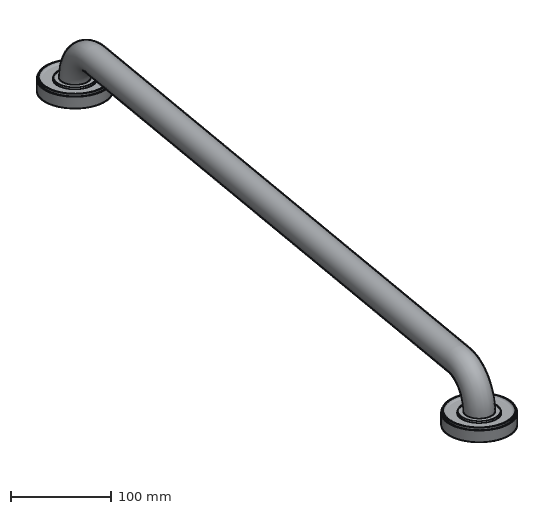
import cadquery as cq

overall_length = 889.0
overall_height = 70.0

tube_diameter = 32.0
bend_radius = 40.0

flange_diameter = 76.5
flange_height = 16.0
edge_step_width = 1.3
edge_step_height = 3.0
rim_top_width = 1.0
rim_cove_width = 4.0
rim_cove_radius = 4.0
dish_depth = 3.0
collar_diameter = 44.5
collar_slope_width = 1.0
collar_rise = 2.0

flange_radius = flange_diameter / 2
leg_x = (overall_length - flange_diameter) / 2
bend_start_x = leg_x - bend_radius
axis_z = overall_height - tube_diameter / 2
leg_top_z = axis_z - bend_radius


def make_tube():
    """Straight rail with a quarter bend turning down into a leg at each end."""
    bend_diagonal = bend_radius * 2 ** -0.5
    path = (
        cq.Workplane("XZ")
        .moveTo(-leg_x, 0)
        .lineTo(-leg_x, leg_top_z)
        .threePointArc(
            (-bend_start_x - bend_diagonal, leg_top_z + bend_diagonal),
            (-bend_start_x, axis_z),
        )
        .lineTo(bend_start_x, axis_z)
        .threePointArc(
            (bend_start_x + bend_diagonal, leg_top_z + bend_diagonal),
            (leg_x, leg_top_z),
        )
        .lineTo(leg_x, 0)
    )
    return cq.Workplane("XY").center(-leg_x, 0).circle(tube_diameter / 2).sweep(path)


def make_flange(x):
    """Round flange with a stepped edge, a raised rim, a shallow dish and a low collar."""
    rim_outer = flange_radius - edge_step_width
    rim_inner = rim_outer - rim_top_width
    dish_outer = rim_inner - rim_cove_width
    collar_radius = collar_diameter / 2
    step_z = flange_height - edge_step_height
    dish_z = flange_height - dish_depth
    collar_z = dish_z + collar_rise
    flange = (
        cq.Workplane("XZ")
        .lineTo(flange_radius, 0)
        .lineTo(flange_radius, step_z)
        .lineTo(rim_outer, step_z)
        .lineTo(rim_outer, flange_height)
        .lineTo(rim_inner, flange_height)
        .radiusArc((dish_outer, dish_z), rim_cove_radius)
        .lineTo(collar_radius, dish_z)
        .lineTo(collar_radius - collar_slope_width, collar_z)
        .lineTo(0, collar_z)
        .close()
        .revolve(360, (0, 0), (0, 1))
    )
    return flange.translate((x, 0, 0))


result = make_tube()
for flange_x in (-leg_x, leg_x):
    result = result.union(make_flange(flange_x))